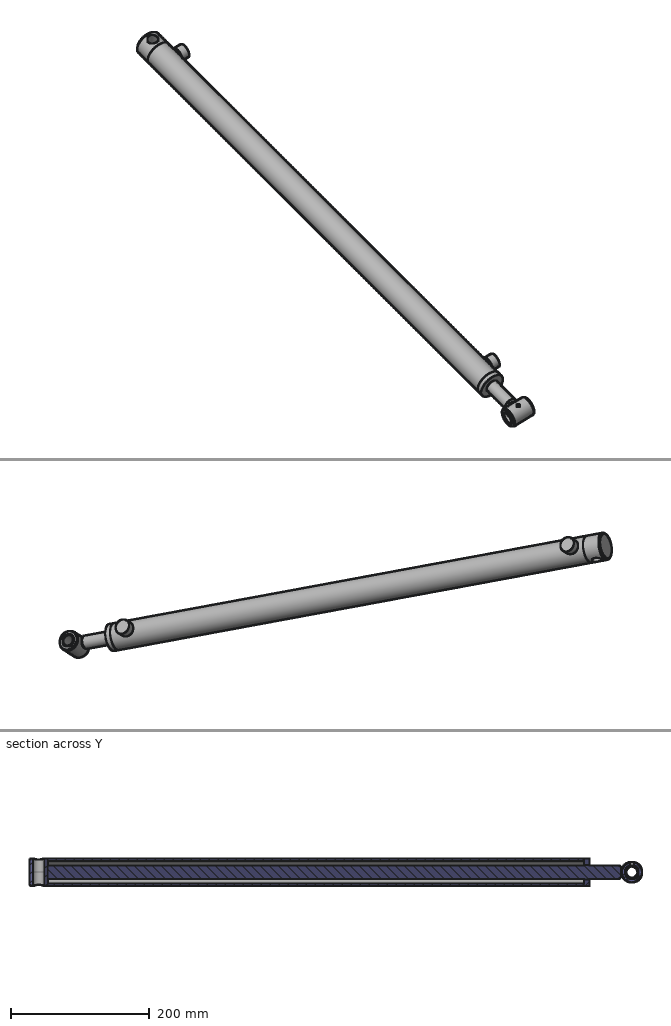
import cadquery as cq

barrel_diameter = 40.0
barrel_wall = 4.0
base_length = 27.0
tube_length = 773.0
gland_length = 8.0
base_pin_hole_diameter = 16.0
base_chamfer = 2.0

overall_length = 884.0
rod_diameter = 20.0
rod_chamfer = 3.0
eye_diameter = 30.0
eye_width = 38.0
eye_bore_diameter = 16.0
eye_chamfer_depth = 1.0
eye_chamfer_length = 2.0
bushing_diameter = 19.0
grease_hole_diameter = 5.0

port_diameter = 22.0
port_reach = 33.0
base_port_inset = 19.0
gland_port_inset = 27.0

barrel_radius = barrel_diameter / 2
base_pin_hole_x = base_length / 2
bore_diameter = barrel_diameter - 2 * barrel_wall
tube_end = base_length + tube_length
gland_end = tube_end + gland_length
eye_x = overall_length - eye_diameter / 2
rod_end = eye_x - eye_diameter / 2
port_positions = [base_length + base_port_inset, tube_end - gland_port_inset]


def cylinder_x(start, end, diameter):
    """Solid cylinder on the X axis between two X positions."""
    return cq.Workplane("YZ", origin=(start, 0, 0)).circle(diameter / 2).extrude(end - start)


def cylinder_y(x, start, end, diameter):
    """Solid cylinder parallel to Y between two Y positions."""
    return cq.Workplane("XZ", origin=(x, start, 0)).circle(diameter / 2).extrude(start - end)


def make_base():
    """Solid end of the barrel with a cross hole for the mounting pin."""
    pin_hole = (
        cq.Workplane("XY", origin=(base_pin_hole_x, 0, 0))
        .circle(base_pin_hole_diameter / 2)
        .extrude(barrel_radius, both=True)
    )
    blank = cylinder_x(0, base_length, barrel_diameter).faces("<X").chamfer(base_chamfer)
    return blank.cut(pin_hole)


def make_tube():
    """Hollow barrel between the base and the gland."""
    return cylinder_x(base_length, tube_end, barrel_diameter).cut(
        cylinder_x(base_length, tube_end, bore_diameter)
    )


def make_gland():
    """Ring that closes the tube and guides the rod."""
    return cylinder_x(tube_end, gland_end, barrel_diameter).cut(
        cylinder_x(tube_end, gland_end, rod_diameter)
    )


def make_port(x):
    """Round boss standing on the +Y side of the tube."""
    return cylinder_y(x, barrel_radius, port_reach, port_diameter)


def make_rod():
    """Rod from the base to the eye, chamfered where it meets the eye."""
    return cylinder_x(base_length, rod_end, rod_diameter).faces(">X").chamfer(rod_chamfer)


def make_grease_hole():
    """Upright drill from the eye's bore out through its top."""
    return (
        cq.Workplane("XY", origin=(eye_x, 0, 0))
        .circle(grease_hole_diameter / 2)
        .extrude(eye_diameter / 2)
    )


def make_eye():
    """Cross tube with chamfered ends, bored for its bushing."""
    blank = cylinder_y(eye_x, -eye_width / 2, eye_width / 2, eye_diameter)
    blank = blank.faces("<Y or >Y").chamfer(eye_chamfer_length, eye_chamfer_depth)
    bore = cylinder_y(eye_x, -eye_width / 2, eye_width / 2, bushing_diameter)
    return blank.cut(bore).cut(make_grease_hole())


def make_bushing():
    """Plain bearing sleeve that fills the eye's bore."""
    sleeve = cylinder_y(eye_x, -eye_width / 2, eye_width / 2, bushing_diameter)
    bore = cylinder_y(eye_x, -eye_width / 2, eye_width / 2, eye_bore_diameter)
    return sleeve.cut(bore).cut(make_grease_hole())


base = make_base()
tube = make_tube()
gland = make_gland()
ports = [make_port(x) for x in port_positions]
rod = make_rod()
eye = make_eye()
bushing = make_bushing()

result = cq.Compound.makeCompound(
    [
        base.val(),
        tube.val(),
        gland.val(),
        *[port.val() for port in ports],
        rod.val(),
        eye.val(),
        bushing.val(),
    ]
)